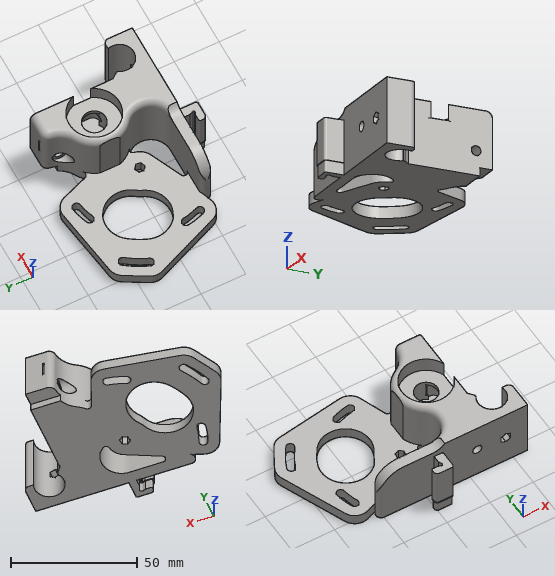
import cadquery as cq
import math


overall_length = 93.5
height = 28.0
plate_thickness = 5.05
wall_thickness = 5.0

bearing_y = 31.5
bearing_radius = 11.2
bearing_depth = 6.9
edge_radius = 3.0
edge_clearance = 0.01
boss_radius = bearing_radius + edge_radius
boss_flat_x = -13.5
block_right = 10.6
block_back = 54.7
bore_radius = 5.05
lower_cove_radius = 8.6
upper_cove_radius = 11.2
upper_cove_angle = 119.5
base_back = 49.1
base_relief_height = 3.5

pivot_x = -18.4
pivot_y = 20.75
motor_angle = 150.7
swing = 7.0
screw_spacing = 31.0
screw_diagonal = screw_spacing * math.sqrt(2)
slot_radius = 1.8
motor_bore_radius = 11.3
pivot_hex_diameter = 4.3
pivot_hex_angle = 22
corner_radius = 6.5
pivot_corner_radius = 7.3

block_web = (-12.9, 37.7, 1.9)
wall_web = (-38.1, 5.7, 1.9)

base_corners = [
    (-11.6, 39.6, 1.7),
    (-11.2, 22.25, 1.4),
    (-35.3, wall_thickness, 1.5),
]

plate_left = pivot_x + screw_diagonal * math.cos(math.radians(motor_angle + swing)) - corner_radius
wall_right = plate_left + overall_length
wall_left = -41.0
wall_end_radius = 2.3
wall_low_height = 25.5
wall_corner_radius = 11.4
ramp_start = -16.1
ramp_end = -10.6

clip_x = 17.9
clip_y = 10.8
clip_radius = 6.3
clip_top = 13.0
clip_corner_radius = 2.2
clip_arm_left = 24.1
clip_tip_radius = 0.8
nose_x = 12.6
nose_y = 15.1
nose_width = 0.7
nose_root_y = 17.7

hook_right = -11.4
hook_left = -19.9
hook_leg_width = 4.1
hook_depth = 8.5
hook_foot = 3.5
hook_throat_drop = 0.5
hook_throat_lip = 1.1
hook_throat_cut = 0.8
hook_throat_rise = 1.9
hook_toe_radius = 1.8
hook_heel_radius = 1.0
hook_tip_radius = 0.6
hook_height = 23.1
hook_inset = 0.4

filament_x = 4.6
filament_z = 15.0
filament_radius = 2.1
relief_left = 3.4
relief_half_height = 4.4
relief_corner_radius = 3.3
slit_width = 0.75
relief_bottom = filament_z - relief_half_height
relief_top = filament_z + relief_half_height

screw_x = 17.8
screw_z = 14.0
screw_hex_diameter = 5.0

cross_y = 47.5
cross_z = 10.5
cross_radius = 2.1
cross_head_radius = 3.55
cross_floor_x = -0.9


def polar(x, y, radius, angle):
    a = math.radians(angle)
    return (x + radius * math.cos(a), y + radius * math.sin(a))


def arc(sketch, center, radius, start, end):
    """Continue a wire along a circle, from one angle to another in degrees."""
    middle = polar(*center, radius, (start + end) / 2)
    return sketch.threePointArc(middle, polar(*center, radius, end))


def cylinder(x, y, z, radius, length):
    return cq.Workplane("XY", origin=(x, y, z)).circle(radius).extrude(length)


def box(x0, x1, y0, y1, z0, z1):
    return cq.Workplane("XY").box(x1 - x0, y1 - y0, z1 - z0, centered=False).translate((x0, y0, z0))


def round_edge(solid, x, y, radius):
    """Round the vertical edge nearest to the given place."""
    edges = solid.edges("|Z").vals()
    nearest = min(edges, key=lambda edge: math.hypot(edge.Center().x - x, edge.Center().y - y))
    return solid.newObject([nearest]).fillet(radius)


def block_outline():
    """Block outline: coves on both sides of the round boss, all tangent to each other."""
    boss = (0, bearing_y)
    lower_y = wall_thickness + lower_cove_radius
    lower_rise = bearing_y - lower_y
    lower_run = math.sqrt((boss_radius + lower_cove_radius) ** 2 - lower_rise ** 2)
    lower = (-lower_run, lower_y)
    lower_angle = math.degrees(math.atan2(lower_rise, lower_run))

    upper = polar(*boss, boss_radius + upper_cove_radius, upper_cove_angle)
    corner_y = block_back - edge_radius
    corner_rise = corner_y - upper[1]
    corner_run = math.sqrt((upper_cove_radius + edge_radius) ** 2 - corner_rise ** 2)
    corner = (upper[0] + corner_run, corner_y)
    corner_angle = math.degrees(math.atan2(corner_rise, corner_run))

    sketch = cq.Workplane("XY").moveTo(ramp_start, 0)
    sketch = sketch.lineTo(ramp_start, wall_thickness).lineTo(lower[0], wall_thickness)
    sketch = arc(sketch, lower, lower_cove_radius, -90, lower_angle)
    sketch = arc(sketch, boss, boss_radius, 180 + lower_angle, upper_cove_angle)
    sketch = arc(sketch, upper, upper_cove_radius, upper_cove_angle - 180, corner_angle)
    sketch = arc(sketch, corner, edge_radius, 180 + corner_angle, 90)
    return sketch.lineTo(block_right, block_back).lineTo(block_right, 0).close()


def make_block():
    block = block_outline().extrude(height)
    rounded = block.faces(">Z").edges("%CIRCLE or >Y")
    block = block.newObject(rounded.vals()).fillet(edge_radius - edge_clearance)
    flat = box(-boss_radius, boss_flat_x, wall_thickness + lower_cove_radius, block_back, 0, height)
    return block.cut(flat)


def make_wall():
    wall = box(wall_left, wall_right, 0, wall_thickness, 0, wall_low_height)
    return wall.edges("|Z and <X").fillet(wall_end_radius)


def wall_relief():
    """Space above the low part of the wall, with a rounded shoulder and a concave ramp."""
    rise = height - wall_low_height
    run = ramp_end - ramp_start
    radius = (run ** 2 + rise ** 2) / (2 * rise)
    shoulder = (wall_left + wall_corner_radius, wall_low_height - wall_corner_radius)
    sweep = math.degrees(math.asin(run / radius))
    sketch = cq.Workplane("XZ").moveTo(wall_left, shoulder[1])
    sketch = arc(sketch, shoulder, wall_corner_radius, 180, 90).lineTo(ramp_start, wall_low_height)
    sketch = arc(sketch, (ramp_start, wall_low_height + radius), radius, -90, sweep - 90)
    return sketch.lineTo(wall_left, height).close().extrude(-wall_thickness)


def tight_outline(circles):
    """Outline stretched around circles (x, y, radius) listed counterclockwise."""
    following = circles[1:] + circles[:1]
    normals = []
    for (x0, y0, r0), (x1, y1, r1) in zip(circles, following):
        heading = math.degrees(math.atan2(y1 - y0, x1 - x0))
        lean = math.degrees(math.asin((r0 - r1) / math.hypot(x1 - x0, y1 - y0)))
        normals.append(heading - 90 + lean)
    sketch = cq.Workplane("XY").moveTo(*polar(*circles[0], normals[-1]))
    for index, (x, y, radius) in enumerate(circles):
        start = normals[index - 1]
        turn = (normals[index] - start) % 360
        sketch = arc(sketch, (x, y), radius, start, start + turn)
        sketch = sketch.lineTo(*polar(*following[index], normals[index]))
    return sketch.close()


def make_plate():
    """Motor plate around the outermost screw places, reaching to the block and the wall."""
    corner_places = [
        (screw_spacing, motor_angle - 45 - swing),
        (screw_diagonal, motor_angle - swing),
        (screw_diagonal, motor_angle + swing),
        (screw_spacing, motor_angle + 45 + swing),
    ]
    pivot = (pivot_x, pivot_y, pivot_corner_radius)
    corners = [
        (*polar(pivot_x, pivot_y, distance, angle), corner_radius)
        for distance, angle in corner_places
    ]
    plate = tight_outline([pivot, block_web] + corners).extrude(plate_thickness)
    return plate.union(tight_outline([pivot, wall_web]).extrude(plate_thickness))


def make_base_layer(upper_body):
    """Plate merged with the lowest slice of the body, inner corners rounded."""
    lowest_slice = upper_body.intersect(box(wall_left, wall_right, 0, block_back, 0, plate_thickness))
    layer = make_plate().union(lowest_slice)
    for x, y, radius in base_corners:
        layer = round_edge(layer, x, y, radius)
    return layer


def swing_slot(distance, angle, radius):
    """Round-ended slot through the plate, curved about the pivot."""
    first = angle - swing
    last = angle + swing
    pivot = (pivot_x, pivot_y)
    sketch = cq.Workplane("XY").moveTo(*polar(*pivot, distance - radius, first))
    sketch = arc(sketch, polar(*pivot, distance, first), radius, first - 180, first)
    sketch = arc(sketch, pivot, distance + radius, first, last)
    sketch = arc(sketch, polar(*pivot, distance, last), radius, last, last + 180)
    sketch = arc(sketch, pivot, distance - radius, last, first)
    return sketch.close().extrude(plate_thickness)


def motor_openings():
    openings = swing_slot(screw_diagonal / 2, motor_angle, motor_bore_radius)
    openings = openings.union(swing_slot(screw_diagonal, motor_angle, slot_radius))
    for side in (-45, 45):
        openings = openings.union(swing_slot(screw_spacing, motor_angle + side, slot_radius))
    pivot_hole = cq.Workplane("XY").polygon(6, pivot_hex_diameter).extrude(plate_thickness)
    pivot_hole = pivot_hole.rotate((0, 0, 0), (0, 0, 1), pivot_hex_angle)
    return openings.union(pivot_hole.translate((pivot_x, pivot_y, 0)))


def hook_layer(inset, depth):
    """J-shaped layer, shrunk by the inset, with the corners of its foot rounded."""
    leg_left = hook_right - hook_leg_width
    foot_top = hook_foot - hook_depth
    throat_bottom = foot_top - hook_throat_drop
    points = [
        (hook_right, wall_thickness / 2),
        (hook_right, -hook_depth),
        (hook_left, -hook_depth),
        (hook_left, foot_top),
        (leg_left - hook_throat_lip, foot_top),
        (leg_left, throat_bottom),
        (leg_left + hook_throat_drop, throat_bottom),
        (leg_left + hook_throat_cut, foot_top),
        (leg_left, foot_top + hook_throat_rise),
        (leg_left, wall_thickness / 2),
    ]
    outline = cq.Workplane("XY").polyline(points).close()
    if inset:
        outline = outline.offset2D(-inset)
    layer = outline.extrude(depth)
    layer = round_edge(layer, hook_left, -hook_depth, hook_toe_radius - inset)
    layer = round_edge(layer, hook_left, foot_top, hook_tip_radius)
    return round_edge(layer, hook_right, -hook_depth, hook_heel_radius - inset)


def make_hook():
    upper = hook_layer(0, hook_height - plate_thickness).translate((0, 0, plate_thickness))
    return upper.union(hook_layer(hook_inset, plate_thickness))


def rod_opening():
    return cylinder(clip_x, clip_y, 0, clip_radius, height)


def make_clip():
    """Clip reaching to the rod axis, with an arm at the right and a small nose at the left."""
    points = [
        (block_right, 0),
        (wall_right, 0),
        (wall_right, clip_top),
        (clip_arm_left, clip_top),
        (clip_x, clip_y),
        (nose_x, nose_y - nose_width),
        (nose_x, nose_y),
        (block_right, nose_root_y),
    ]
    body = cq.Workplane("XY").polyline(points).close().extrude(height)
    body = body.cut(rod_opening())
    body = round_edge(body, clip_arm_left, clip_top, clip_tip_radius)
    return round_edge(body, wall_right, clip_top, clip_corner_radius)


def bearing_seat():
    seat = cylinder(0, bearing_y, height - bearing_depth, bearing_radius, bearing_depth)
    return seat.union(cylinder(0, bearing_y, relief_bottom, bore_radius, height - relief_bottom))


def filament_path():
    hole = cq.Workplane("XZ").center(filament_x, filament_z).circle(filament_radius)
    hole = hole.extrude(-bearing_y)
    relief_right = filament_x + relief_corner_radius
    relief_front = bearing_y - bore_radius
    relief_back = bearing_y + bore_radius
    relief = box(relief_left, relief_right, relief_front, relief_back, relief_bottom, relief_top)
    relief = relief.edges("|Z and >X").fillet(relief_corner_radius)
    slit_left = relief_left - slit_width
    slit_bottom = filament_z - filament_radius
    slit = box(slit_left, relief_left, bearing_y, block_back, slit_bottom, relief_top)
    return hole.union(relief).union(slit)


def screw_hole():
    hole = cq.Workplane("XZ").center(screw_x, screw_z).transformed(rotate=(0, 0, 30))
    return hole.polygon(6, screw_hex_diameter).extrude(-clip_y)


def cross_hole():
    reach = block_right - boss_flat_x
    hole = cq.Workplane("YZ").center(cross_y, cross_z)
    through = hole.circle(cross_radius).extrude(reach, both=True)
    head = hole.workplane(offset=cross_floor_x).circle(cross_head_radius).extrude(-reach)
    return through.union(head)


def base_relief():
    """Step under the back end of the block."""
    return box(boss_flat_x, block_right, base_back, block_back, 0, base_relief_height)


block_and_wall = make_wall().union(make_block())
result = block_and_wall.cut(wall_relief()).cut(base_relief())
base_layer = make_base_layer(block_and_wall).cut(base_relief())
result = result.union(base_layer).cut(motor_openings())
result = result.union(make_clip()).cut(rod_opening()).union(make_hook())
result = result.cut(bearing_seat()).cut(filament_path())
result = result.cut(screw_hole()).cut(cross_hole())